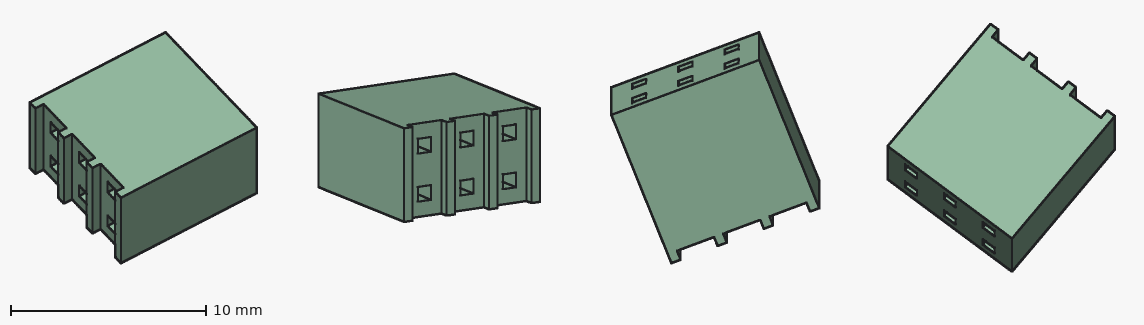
import cadquery as cq

pitch = 2.54
columns = 3
rows = 2
hole_side = 0.78

rib_width = 0.51
rib_depth = 0.51

width = columns * pitch + rib_width
length = 8.51
height = 4.95
body_length = length - rib_depth


def make_body():
    """Plain block behind the ribs, with its front face at y = 0."""
    return cq.Workplane("XY").box(width, body_length, height, centered=(True, False, True))


def make_ribs():
    """Full-height ribs standing forward from the front face."""
    rib_centers = [((i - columns / 2) * pitch, -rib_depth / 2) for i in range(columns + 1)]
    return cq.Workplane("XY").pushPoints(rib_centers).box(rib_width, rib_depth, height)


def make_contact_holes():
    """Square contact passages running through the block along Y."""
    return (
        cq.Workplane("XZ")
        .rarray(pitch, pitch, columns, rows)
        .rect(hole_side, hole_side)
        .extrude(-body_length)
    )


result = make_body().union(make_ribs()).cut(make_contact_holes())